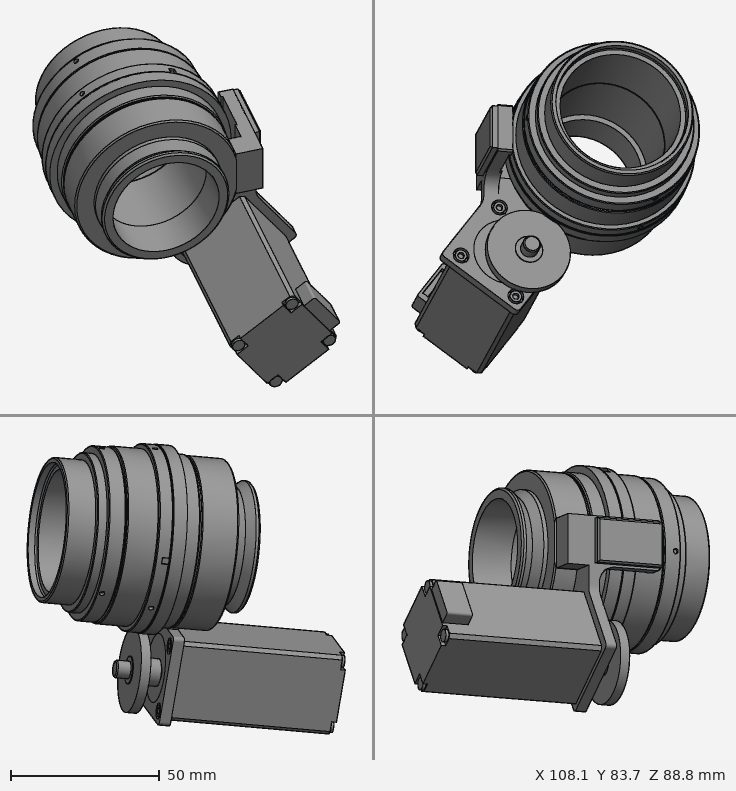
import cadquery as cq
import math


FOCUS_RING_RADIUS = 29.6
INDEX_RING_RADIUS = 31.8
INDEX_RING_REAR_X = 34.9
MOUNT_TUBE_RADIUS = 29.1
MOUNT_TUBE_FRONT_X = 45.9
MOUNT_TUBE_REAR_X = 58.8
MOUNT_FLAT_Y = 27.8
GROOVE_RADIUS = 28.5
BARREL_BANDS = [
    (0.0, 9.8, 24.5, 0.4, 0.0),
    (9.8, 13.1, 27.0, 0.3, 0.0),
    (13.1, 19.0, FOCUS_RING_RADIUS, 0.3, 0.3),
    (19.5, 30.1, 30.1, 0.3, 0.0),
    (30.1, INDEX_RING_REAR_X, INDEX_RING_RADIUS, 0.3, 0.3),
    (INDEX_RING_REAR_X, 39.8, 32.0, 0.2, 0.0),
    (39.8, 45.2, 29.4, 0.0, 0.4),
    (MOUNT_TUBE_FRONT_X, MOUNT_TUBE_REAR_X, MOUNT_TUBE_RADIUS, 0.3, 0.5),
]

FLANGE_RADIUS = 22.4
FLANGE_REAR_X = 60.3
VEE_RADIUS = 20.2
VEE_X = 63.6
RIM_FRONT_X = 66.7
LENS_REAR_X = 68.3
RIM_CHAMFER = 0.6

MOUTH_RADIUS = 22.8
MOUTH_DEPTH = 2.3
SHOULDER_RADIUS = 22.5
SHOULDER_DEPTH = 2.9
FRONT_BORE_RADIUS = 20.8
FRONT_BORE_DEPTH = 27.4
REAR_BORE_RADIUS = 20.5
REAR_BORE_DEPTH = 54.1
THROUGH_RADIUS = 18.7

SET_SCREW_DIAMETER = 1.7
SET_SCREW_DEPTH = 1.2
SET_SCREWS_PER_RING = 3
SET_SCREW_RINGS = [
    (14.9, FOCUS_RING_RADIUS, 30),
    (32.5, INDEX_RING_RADIUS, 35),
]
NOTCH_ANGLES = [-25, 121]
NOTCH_FRONT_X = 32.3
NOTCH_WIDTH = 2.2
NOTCH_DEPTH = 0.9

MOTOR_Y = 29.2
MOTOR_Z = -35.7
MOTOR_TILT = math.radians(35)
MOTOR_SIDE = 28.0
MOTOR_CORNER = 1.3
MOTOR_BODY_REAR_X = 106.5
MOTOR_REAR_X = 108.1
CAP_NOTCH = 4.8
SCREW_OFFSET = 11.52
CAP_SCREW_DIAMETER = 4.3
CAP_SCREW_HEIGHT = 1.1
PILOT_DIAMETER = 23.4

CONNECTOR_FRONT_X = 98.4
CONNECTOR_REAR_X = 107.8
CONNECTOR_WIDTH = 15.8
CONNECTOR_REACH = 18.7
CONNECTOR_RADIUS = 0.9
SLOT_WIDTH = 11.7
SLOT_WALL = 1.0
SLOT_HEIGHT = 2.2
SLOT_DEPTH = 2.2

PLATE_FRONT_X = 46.6
PLATE_REAR_X = 50.5
PLATE_OUTER = 17.1
PLATE_INNER = 15.4
PLATE_HALF_HEIGHT = 15.7
PLATE_CORNER_RADIUS = 1.4
FLANK_RADIUS = 6.0
WEB_INNER_P = 5.4
COUNTERBORE_DIAMETER = 5.4
SCREW_HEAD_DIAMETER = 4.0
SCREW_SOCKET_DIAMETER = 2.2
COUNTERBORE_DEPTH = 2.2
SOCKET_DEPTH = 1.3

ARM_FRONT_X = 24.1
ARM_REAR_X = 58.2
ARM_INNER_Y = 32.3
ARM_OUTER_Y = 37.4
ARM_TOP_Z = 8.3
ARM_BOTTOM_Z = -8.8
ARM_CHAMFER = 0.6
LEG_FRONT_X = 49.7
LEG_FILLET = 1.8
GUSSET_RADIUS = 5.8
RELIEF_FRONT_X = 27.5
RELIEF_REAR_X = 43.1
RELIEF_DEPTH = 0.6

COVER_REAR_X = 48.1
COVER_OUTER_Y = 40.0
COVER_INSET = 0.9
COVER_CHAMFER = 0.6

PINION_Y = 24.2
PINION_Z = -38.9
PINION_FRONT_X = 30.7
HUB_FRONT_X = 35.6
DISC_FRONT_X = 35.9
DISC_REAR_X = 39.3
HUB_REAR_X = 45.7
SPINDLE_DIAMETER = 6.0
SPINDLE_CHAMFER = 0.4
HUB_DIAMETER = 9.4
DISC_DIAMETER = 28.7
STUB_DIAMETER = 4.8


def motor_plane(x):
    """Plane across the motor: local x points to the lens side, local y to the low inner side."""
    toward_lens = (0, -math.sin(MOTOR_TILT), math.cos(MOTOR_TILT))
    return cq.Workplane(cq.Plane(origin=(x, MOTOR_Y, MOTOR_Z), xDir=toward_lens, normal=(1, 0, 0)))


def motor_point(q, p):
    """Y and Z of a point given in the motor plane."""
    y = MOTOR_Y - q * math.sin(MOTOR_TILT) - p * math.cos(MOTOR_TILT)
    z = MOTOR_Z + q * math.cos(MOTOR_TILT) - p * math.sin(MOTOR_TILT)
    return y, z


def box_between(x_range, y_range, z_range):
    size = [high - low for low, high in (x_range, y_range, z_range)]
    corner = (x_range[0], y_range[0], z_range[0])
    return cq.Workplane("XY").box(*size, centered=False).translate(corner)


def rod(x_start, x_end, diameter, y=0, z=0):
    return cq.Workplane("YZ", origin=(x_start, y, z)).circle(diameter / 2).extrude(x_end - x_start)


def flat_clearance():
    """Space outside the flat of the mount tube."""
    return box_between(
        (MOUNT_TUBE_FRONT_X, MOUNT_TUBE_REAR_X),
        (MOUNT_FLAT_Y, MOUNT_TUBE_RADIUS),
        (-MOUNT_TUBE_RADIUS, MOUNT_TUBE_RADIUS),
    )


def make_barrel():
    outline = []
    for front, rear, radius, front_chamfer, rear_chamfer in BARREL_BANDS:
        if outline and front > outline[-1][0]:
            outline.append((outline[-1][0], GROOVE_RADIUS))
            outline.append((front, GROOVE_RADIUS))
        outline.append((front, radius - front_chamfer))
        if front_chamfer:
            outline.append((front + front_chamfer, radius))
        if rear_chamfer:
            outline.append((rear - rear_chamfer, radius))
        outline.append((rear, radius - rear_chamfer))
    outline += [
        (MOUNT_TUBE_REAR_X, FLANGE_RADIUS),
        (FLANGE_REAR_X, FLANGE_RADIUS),
        (VEE_X, VEE_RADIUS),
        (RIM_FRONT_X, FLANGE_RADIUS),
        (LENS_REAR_X - RIM_CHAMFER, FLANGE_RADIUS),
        (LENS_REAR_X, FLANGE_RADIUS - RIM_CHAMFER),
        (LENS_REAR_X, THROUGH_RADIUS),
        (REAR_BORE_DEPTH, THROUGH_RADIUS),
        (REAR_BORE_DEPTH, REAR_BORE_RADIUS),
        (FRONT_BORE_DEPTH, REAR_BORE_RADIUS),
        (FRONT_BORE_DEPTH, FRONT_BORE_RADIUS),
        (SHOULDER_DEPTH, FRONT_BORE_RADIUS),
        (SHOULDER_DEPTH, SHOULDER_RADIUS),
        (MOUTH_DEPTH, MOUTH_RADIUS),
        (0, MOUTH_RADIUS),
    ]
    return cq.Workplane("XY").polyline(outline).close().revolve(360, (0, 0), (1, 0))


def make_lens():
    lens = make_barrel().cut(flat_clearance())
    for x, radius, first_angle in SET_SCREW_RINGS:
        hole = (
            cq.Workplane("XY", origin=(x, 0, radius - SET_SCREW_DEPTH))
            .circle(SET_SCREW_DIAMETER / 2)
            .extrude(2 * SET_SCREW_DEPTH)
        )
        for index in range(SET_SCREWS_PER_RING):
            angle = first_angle + index * 360 / SET_SCREWS_PER_RING
            lens = lens.cut(hole.rotate((0, 0, 0), (1, 0, 0), angle))
    notch = box_between(
        (NOTCH_FRONT_X, INDEX_RING_REAR_X),
        (-NOTCH_WIDTH / 2, NOTCH_WIDTH / 2),
        (INDEX_RING_RADIUS - NOTCH_DEPTH, INDEX_RING_RADIUS + NOTCH_DEPTH),
    )
    for angle in NOTCH_ANGLES:
        lens = lens.cut(notch.rotate((0, 0, 0), (1, 0, 0), angle))
    return lens.cut(rod(DISC_FRONT_X, DISC_REAR_X, DISC_DIAMETER, PINION_Y, PINION_Z))


def make_pinion():
    spindle = rod(PINION_FRONT_X, HUB_FRONT_X, SPINDLE_DIAMETER, PINION_Y, PINION_Z)
    spindle = spindle.faces("<X").chamfer(SPINDLE_CHAMFER)
    hub = rod(HUB_FRONT_X, HUB_REAR_X, HUB_DIAMETER, PINION_Y, PINION_Z)
    disc = rod(DISC_FRONT_X, DISC_REAR_X, DISC_DIAMETER, PINION_Y, PINION_Z)
    stub = rod(HUB_REAR_X, PLATE_FRONT_X, STUB_DIAMETER, PINION_Y, PINION_Z)
    return spindle.union(hub).union(disc).union(stub)


def make_motor():
    body = (
        motor_plane(PLATE_REAR_X)
        .rect(MOTOR_SIDE, MOTOR_SIDE)
        .extrude(MOTOR_REAR_X - PLATE_REAR_X)
        .edges("|X")
        .chamfer(MOTOR_CORNER)
    )
    notches = (
        motor_plane(MOTOR_BODY_REAR_X)
        .rect(MOTOR_SIDE, MOTOR_SIDE, forConstruction=True)
        .vertices()
        .rect(2 * CAP_NOTCH, 2 * CAP_NOTCH)
        .extrude(MOTOR_REAR_X - MOTOR_BODY_REAR_X)
    )
    screws = (
        motor_plane(MOTOR_BODY_REAR_X)
        .rect(2 * SCREW_OFFSET, 2 * SCREW_OFFSET, forConstruction=True)
        .vertices()
        .circle(CAP_SCREW_DIAMETER / 2)
        .extrude(CAP_SCREW_HEIGHT)
    )
    pilot = rod(PLATE_FRONT_X, PLATE_REAR_X, PILOT_DIAMETER, MOTOR_Y, MOTOR_Z)
    connector = (
        motor_plane(CONNECTOR_FRONT_X)
        .center(0, -CONNECTOR_REACH / 2)
        .rect(CONNECTOR_WIDTH, CONNECTOR_REACH)
        .extrude(CONNECTOR_REAR_X - CONNECTOR_FRONT_X)
        .edges("|X")
        .fillet(CONNECTOR_RADIUS)
    )
    slot = (
        motor_plane(CONNECTOR_FRONT_X)
        .center(0, SLOT_WALL + SLOT_HEIGHT / 2 - CONNECTOR_REACH)
        .rect(SLOT_WIDTH, SLOT_HEIGHT)
        .extrude(SLOT_DEPTH)
    )
    connector = connector.cut(slot)
    return body.cut(notches).union(screws).union(pilot).union(connector)


def make_plate():
    thickness = PLATE_REAR_X - PLATE_FRONT_X
    plate = (
        motor_plane(PLATE_FRONT_X)
        .center(0, (PLATE_INNER - PLATE_OUTER) / 2)
        .rect(2 * PLATE_HALF_HEIGHT, PLATE_INNER + PLATE_OUTER)
        .extrude(thickness)
        .edges("|X")
        .fillet(PLATE_CORNER_RADIUS)
    )
    flank_q = (MOTOR_Y + PLATE_OUTER * math.cos(MOTOR_TILT) - ARM_OUTER_Y) / math.sin(MOTOR_TILT)
    flank_foot = motor_point(flank_q, -PLATE_OUTER)
    web = (
        cq.Workplane("YZ", origin=(PLATE_FRONT_X, 0, 0))
        .polyline([
            (0, ARM_BOTTOM_Z),
            (ARM_OUTER_Y, ARM_BOTTOM_Z),
            flank_foot,
            (MOTOR_Y, MOTOR_Z),
            motor_point(PLATE_HALF_HEIGHT, WEB_INNER_P),
        ])
        .close()
        .extrude(thickness)
    )
    plate = plate.union(web)
    corner = cq.NearestToPointSelector((PLATE_FRONT_X + thickness / 2, *flank_foot))
    return plate.edges(corner).fillet(FLANK_RADIUS)


def cut_screw_recesses(bracket):
    def screw_circles(diameter):
        return (
            motor_plane(PLATE_FRONT_X)
            .rect(2 * SCREW_OFFSET, 2 * SCREW_OFFSET, forConstruction=True)
            .vertices()
            .circle(diameter / 2)
        )
    gap = screw_circles(COUNTERBORE_DIAMETER).extrude(COUNTERBORE_DEPTH)
    gap = gap.cut(screw_circles(SCREW_HEAD_DIAMETER).extrude(COUNTERBORE_DEPTH))
    return bracket.cut(gap).cut(screw_circles(SCREW_SOCKET_DIAMETER).extrude(SOCKET_DEPTH))


def make_bracket():
    arm_z = (ARM_BOTTOM_Z, ARM_TOP_Z)
    arm = box_between((ARM_FRONT_X, ARM_REAR_X), (ARM_INNER_Y, ARM_OUTER_Y), arm_z)
    arm = arm.faces("<X").edges("|Y").chamfer(ARM_CHAMFER)
    relief = box_between(
        (RELIEF_FRONT_X, RELIEF_REAR_X), (ARM_INNER_Y, ARM_INNER_Y + RELIEF_DEPTH), arm_z
    )
    leg = box_between((LEG_FRONT_X, ARM_REAR_X), (0, ARM_OUTER_Y), arm_z)
    shelf_fillet = (
        cq.Workplane("XZ")
        .moveTo(LEG_FRONT_X, ARM_BOTTOM_Z)
        .lineTo(LEG_FRONT_X - LEG_FILLET, ARM_BOTTOM_Z)
        .radiusArc((LEG_FRONT_X, ARM_BOTTOM_Z + LEG_FILLET), -LEG_FILLET)
        .close()
        .extrude(-ARM_OUTER_Y)
    )
    gusset = (
        cq.Workplane("XZ", origin=(0, ARM_INNER_Y, 0))
        .moveTo(PLATE_FRONT_X - GUSSET_RADIUS, ARM_BOTTOM_Z)
        .radiusArc((PLATE_FRONT_X, ARM_BOTTOM_Z - GUSSET_RADIUS), GUSSET_RADIUS)
        .lineTo(LEG_FRONT_X, ARM_BOTTOM_Z - GUSSET_RADIUS)
        .lineTo(LEG_FRONT_X, ARM_BOTTOM_Z)
        .close()
        .extrude(ARM_INNER_Y - ARM_OUTER_Y)
    )
    bracket = make_plate().union(arm.cut(relief)).union(leg).union(shelf_fillet).union(gusset)
    bracket = bracket.cut(rod(PLATE_FRONT_X, PLATE_REAR_X, PILOT_DIAMETER, MOTOR_Y, MOTOR_Z))
    bracket = cut_screw_recesses(bracket)
    mount_tube = rod(MOUNT_TUBE_FRONT_X, MOUNT_TUBE_REAR_X, 2 * MOUNT_TUBE_RADIUS)
    return bracket.cut(mount_tube.cut(flat_clearance()))


def make_cover():
    cover = box_between(
        (ARM_FRONT_X, COVER_REAR_X),
        (ARM_OUTER_Y, COVER_OUTER_Y),
        (ARM_BOTTOM_Z + COVER_INSET, ARM_TOP_Z - COVER_INSET),
    )
    return cover.faces(">Y").edges().chamfer(COVER_CHAMFER)


lens = make_lens()
pinion = make_pinion()
motor = make_motor()
bracket = make_bracket()
cover = make_cover()

result = cq.Compound.makeCompound([
    lens.solids().val(),
    pinion.solids().val(),
    motor.solids().val(),
    bracket.solids().val(),
    cover.solids().val(),
])